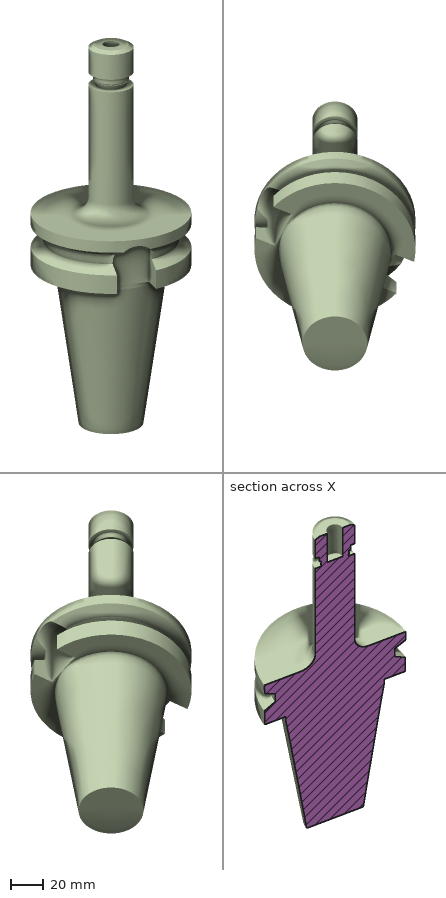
import cadquery as cq
import math

total_height = 251.8
gauge_z = 101.7
flange_bottom_z = 104.7
lower_rim_top_z = 117.0
groove_bottom_z = 121.5
groove_top_z = 128.2
upper_rim_bottom_z = 132.2
flange_top_z = 139.7
shank_top_z = 225.0
neck_taper_top_z = 228.1
neck_step_z = 229.5
nut_bottom_z = 233.5

flange_diameter = 100.0
flange_radius = flange_diameter / 2
groove_radius = 42.3
taper_large_radius = 35.0
taper_ratio = 7 / 24
taper_small_radius = taper_large_radius - gauge_z * taper_ratio / 2
shank_radius = 14.0
root_fillet_radius = 10.0
neck_bottom_radius = 9.5
neck_top_radius = 10.5
neck_undercut_radius = 9.8
nut_collar_radius = 11.3

nut_chamfer_width = 3.3
nut_chamfer_height = 1.8
bore_radius = 5.3
bore_depth = 25.2

slot_width = 25.7
slot_top_z = 135.5
slot_floor_x = 35.3


def revolved_body():
    """Taper, grooved flange, filleted shank, neck and clamping nut."""
    fillet_centre_x = shank_radius + root_fillet_radius
    fillet_centre_z = flange_top_z + root_fillet_radius
    fillet_offset = root_fillet_radius * math.sqrt(0.5)
    fillet_middle = (fillet_centre_x - fillet_offset, fillet_centre_z - fillet_offset)

    return (
        cq.Workplane("XZ")
        .lineTo(taper_small_radius, 0)
        .lineTo(taper_large_radius, gauge_z)
        .lineTo(taper_large_radius, flange_bottom_z)
        .lineTo(flange_radius, flange_bottom_z)
        .lineTo(flange_radius, lower_rim_top_z)
        .lineTo(groove_radius, groove_bottom_z)
        .lineTo(groove_radius, groove_top_z)
        .lineTo(flange_radius, upper_rim_bottom_z)
        .lineTo(flange_radius, flange_top_z)
        .lineTo(fillet_centre_x, flange_top_z)
        .threePointArc(fillet_middle, (shank_radius, fillet_centre_z))
        .lineTo(shank_radius, shank_top_z)
        .lineTo(neck_bottom_radius, shank_top_z)
        .lineTo(neck_top_radius, neck_taper_top_z)
        .lineTo(neck_undercut_radius, neck_taper_top_z)
        .lineTo(neck_undercut_radius, neck_step_z)
        .lineTo(nut_collar_radius, neck_step_z)
        .lineTo(nut_collar_radius, nut_bottom_z)
        .lineTo(shank_radius, nut_bottom_z)
        .lineTo(shank_radius, total_height - nut_chamfer_height)
        .lineTo(shank_radius - nut_chamfer_width, total_height)
        .lineTo(0, total_height)
        .close()
        .revolve(360, (0, 0), (0, 1))
    )


def drive_slot(side):
    """Round-topped slot cutter on the +X (side = 1) or -X (side = -1) flank."""
    half_width = slot_width / 2
    arc_centre_z = slot_top_z - half_width
    return (
        cq.Workplane("YZ", origin=(side * slot_floor_x, 0, 0))
        .moveTo(-half_width, flange_bottom_z)
        .lineTo(half_width, flange_bottom_z)
        .lineTo(half_width, arc_centre_z)
        .threePointArc((0, slot_top_z), (-half_width, arc_centre_z))
        .close()
        .extrude(side * flange_radius)
    )


def collet_bore():
    """Blind bore in the top of the nut."""
    bore_bottom_z = total_height - bore_depth
    return cq.Workplane("XY", origin=(0, 0, bore_bottom_z)).circle(bore_radius).extrude(bore_depth)


result = revolved_body().cut(collet_bore())
for slot_side in (-1, 1):
    result = result.cut(drive_slot(slot_side))